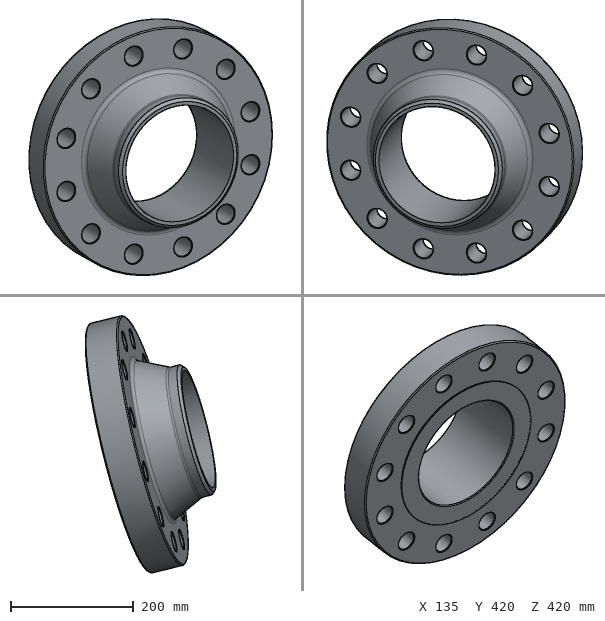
import cadquery as cq

total_length = 135.0
raised_face_height = 2.0
flange_back = 58.0
neck_start = 113.0

flange_diameter = 420.0
raised_face_diameter = 270.0
hub_base_diameter = 270.5
neck_diameter = 219.2
bore_diameter = 197.0

bolt_count = 12
bolt_circle_diameter = 349.0
bolt_hole_diameter = 32.0

flange_chamfer = 2.0
weld_bevel = 5.0
hub_fillet = 9.0
bore_chamfer = 1.5
bolt_hole_chamfer = 1.3


def ring_edge(body, x, radius):
    """Select the circular edge around X at the given station and radius."""
    tolerance = 0.05
    corner = radius + tolerance
    in_plane = body.edges(
        cq.selectors.BoxSelector(
            (x - tolerance, -corner, -corner), (x + tolerance, corner, corner), boundingbox=True
        )
    )
    return in_plane.filter(lambda e: e.geomType() == "CIRCLE" and abs(e.radius() - radius) < tolerance)


def flange_body():
    """Turned solid: raised face, flange, tapered hub and weld neck."""
    flange_radius = flange_diameter / 2
    neck_radius = neck_diameter / 2
    outline = (
        cq.Workplane("XY")
        .lineTo(0, raised_face_diameter / 2)
        .lineTo(raised_face_height, raised_face_diameter / 2)
        .lineTo(raised_face_height, flange_radius - flange_chamfer)
        .lineTo(raised_face_height + flange_chamfer, flange_radius)
        .lineTo(flange_back - flange_chamfer, flange_radius)
        .lineTo(flange_back, flange_radius - flange_chamfer)
        .lineTo(flange_back, hub_base_diameter / 2)
        .lineTo(neck_start, neck_radius)
        .lineTo(total_length - weld_bevel, neck_radius)
        .lineTo(total_length, neck_radius - weld_bevel)
        .lineTo(total_length, 0)
        .close()
    )
    body = outline.revolve(360, (0, 0, 0), (1, 0, 0))
    body = ring_edge(body, flange_back, hub_base_diameter / 2).fillet(hub_fillet)
    return ring_edge(body, neck_start, neck_radius).fillet(hub_fillet)


def cut_bore(body):
    """Through bore, chamfered at the sealing face."""
    bore = cq.Workplane("YZ").circle(bore_diameter / 2).extrude(total_length)
    return ring_edge(body.cut(bore), 0, bore_diameter / 2).chamfer(bore_chamfer)


def bolt_holes():
    """Bolt hole cutters straddling the centrelines, chamfered at both flange faces."""
    hole_radius = bolt_hole_diameter / 2
    mouth_radius = hole_radius + bolt_hole_chamfer
    hole = (
        cq.Workplane("XY")
        .moveTo(raised_face_height, 0)
        .lineTo(raised_face_height, mouth_radius)
        .lineTo(raised_face_height + bolt_hole_chamfer, hole_radius)
        .lineTo(flange_back - bolt_hole_chamfer, hole_radius)
        .lineTo(flange_back, mouth_radius)
        .lineTo(flange_back, 0)
        .close()
        .revolve(360, (0, 0, 0), (1, 0, 0))
        .translate((0, bolt_circle_diameter / 2, 0))
    )
    pitch = 360 / bolt_count
    cutters = cq.Workplane("XY")
    for index in range(bolt_count):
        angle = (index + 0.5) * pitch
        cutters = cutters.add(hole.rotate((0, 0, 0), (1, 0, 0), angle))
    return cutters.combine()


result = cut_bore(flange_body()).cut(bolt_holes()).translate((-total_length / 2, 0, 0))